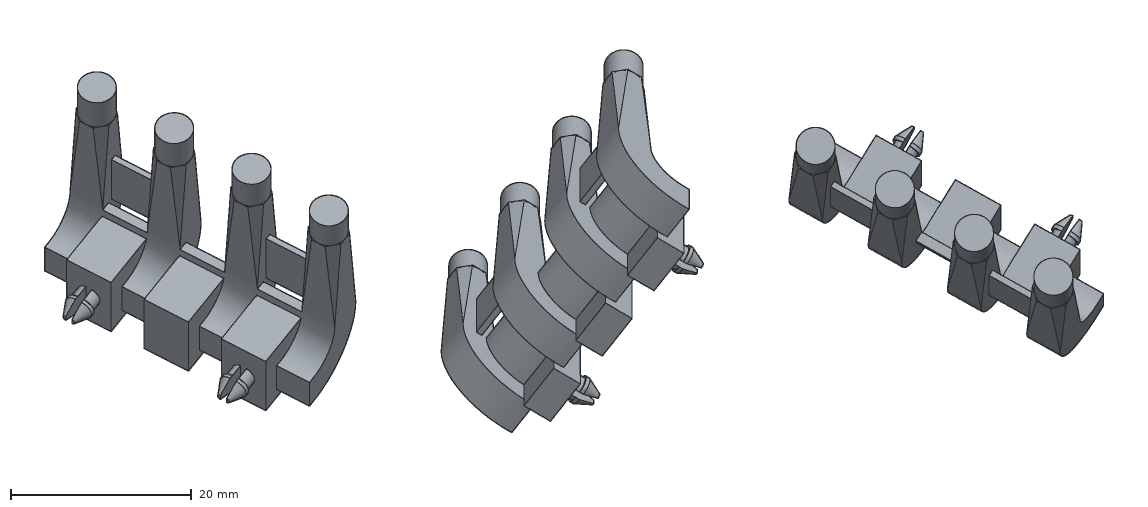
import cadquery as cq
import math

length = 34.8
finger_count = 4
finger_size = 4.3
pitch = (length - finger_size) / (finger_count - 1)
gap = pitch - finger_size
first_x = -length / 2

bend_radius = 8.63
inner_radius = bend_radius - finger_size
bar_bottom = 1.43
bend_z = bar_bottom + bend_radius
bend_y = -bend_radius
bar_front = -9.45
web_shell = 1.22
shell_top = 9.9

post_base = 23.9
post_tops = [28.33, 28.1, 27.87, 27.5]

plate_rear = -1.77
plate_thickness = 0.73
plate_bottom = shell_top
plate_top = 17.05
plate_gaps = [0, 2]

block_front = -11.7
block_rear = -8.15
block_top = 8.95

pin_gaps = [0, 2]
pin_z = 4.55
pin_radius = 1.32
pin_tip_radius = 0.4
shank_offset = 0.15
slot_width = 0.8
shank_length = 1.65
barb_length = 0.5
pin_length = 4.07


def box(x0, x1, y0, y1, z0, z1):
    """Box between opposite corners."""
    return cq.Workplane("XY").box(x1 - x0, y1 - y0, z1 - z0, centered=False).translate((x0, y0, z0))


def finger_x(index):
    """Left side of a finger."""
    return first_x + index * pitch


def gap_x(index):
    """Left side of the gap that follows a finger."""
    return finger_x(index) + finger_size


def bend_point(radius, angle):
    """Point (y, z) on the bend; 0 degrees is the rear, 90 degrees the bottom."""
    a = math.radians(angle)
    return (bend_y + radius * math.cos(a), bend_z - radius * math.sin(a))


def bar_section(x, width, thickness):
    """Quarter bend of the given thickness with a short straight front end."""
    outer_radius = inner_radius + thickness
    inner_z = bend_z - inner_radius
    return (
        cq.Workplane("YZ", origin=(x, 0, 0))
        .moveTo(*bend_point(outer_radius, 0))
        .threePointArc(bend_point(outer_radius, 45), bend_point(outer_radius, 90))
        .lineTo(bar_front, inner_z - thickness)
        .lineTo(bar_front, inner_z)
        .lineTo(bend_y, inner_z)
        .threePointArc(bend_point(inner_radius, 45), bend_point(inner_radius, 0))
        .close()
        .extrude(width)
    )


def finger(index):
    """Bend, tapering shank and round post of one finger."""
    x = finger_x(index)
    center = (x + finger_size / 2, -finger_size / 2)
    shank = box(x, x + finger_size, -finger_size, 0, bend_z, post_base)
    corner_cutter = (
        cq.Workplane("XY", origin=(*center, bend_z))
        .transformed(rotate=(0, 0, 45))
        .rect(finger_size * math.sqrt(2), finger_size * math.sqrt(2))
        .workplane(offset=post_base - bend_z)
        .rect(finger_size, finger_size)
        .loft(ruled=True)
    )
    post = (
        cq.Workplane("XY", origin=(*center, post_base))
        .circle(finger_size / 2)
        .extrude(post_tops[index] - post_base)
    )
    return bar_section(x, finger_size, finger_size).union(shank.intersect(corner_cutter)).union(post)


def web(index):
    """Thin stretch of the bar that bridges a gap."""
    x = gap_x(index)
    trim = box(x, x + gap, bar_front, 0, shell_top, bend_z)
    return bar_section(x, gap, web_shell).cut(trim)


def plate(index):
    """Thin plate bridging the gap between a pair of fingers."""
    x = gap_x(index)
    return box(x, x + gap, plate_rear - plate_thickness, plate_rear, plate_bottom, plate_top)


def block(index):
    """Block that fills the inside of the bend and reaches below the bar."""
    x = gap_x(index)
    body = box(x, x + gap, block_front, block_rear, 0, block_top)
    filler = box(x, x + gap, block_rear, -finger_size, bend_z - inner_radius, block_top)
    bend_core = (
        cq.Workplane("YZ", origin=(x, bend_y, bend_z)).circle(inner_radius).extrude(gap)
    )
    return body.union(filler.intersect(bend_core))


def pin_half(x, side):
    """One half of a split pin: shank, barb shifted outwards, and conical tip."""
    slot_face = side * slot_width / 2
    shank = (
        cq.Workplane("XZ", origin=(x + side * shank_offset, block_front, pin_z))
        .circle(pin_radius)
        .extrude(shank_length)
    )
    barb = (
        cq.Workplane("XZ", origin=(x + slot_face, block_front - shank_length, pin_z))
        .circle(pin_radius)
        .extrude(barb_length)
    )
    tip = (
        barb.faces("<Y").workplane()
        .circle(pin_radius)
        .workplane(offset=pin_length - shank_length - barb_length)
        .circle(pin_tip_radius)
        .loft(combine=False)
    )
    outer_x = slot_face + side * 2 * pin_radius
    keep = box(
        x + min(slot_face, outer_x), x + max(slot_face, outer_x),
        block_front - pin_length, block_front,
        pin_z - pin_radius, pin_z + pin_radius,
    )
    return shank.union(barb).union(tip).intersect(keep)


result = finger(0)
for i in range(1, finger_count):
    result = result.union(finger(i))
for i in range(finger_count - 1):
    result = result.union(web(i)).union(block(i))
for i in plate_gaps:
    result = result.union(plate(i))
for i in pin_gaps:
    for side in (-1, 1):
        result = result.union(pin_half(gap_x(i) + gap / 2, side))